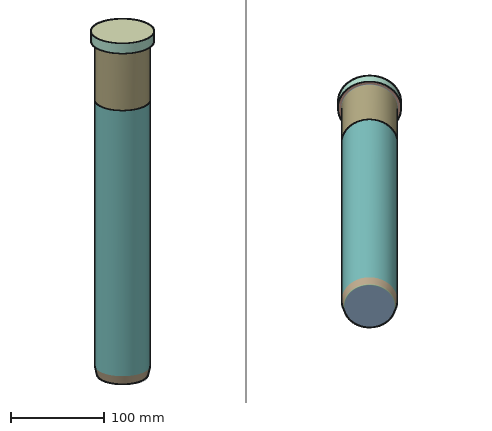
import cadquery as cq

total_length = 400.0
head_diameter = 68.0
head_thickness = 12.0
shank_diameter = 60.0
upper_length = 80.0
tip_length = 11.0
tip_diameter = 55.0
tip_edge_radius = 1.0
neck_fillet = 0.5

shank_radius = shank_diameter / 2
head_radius = head_diameter / 2
tip_radius = tip_diameter / 2
joint_z = total_length - upper_length
head_bottom_z = total_length - head_thickness


def revolve_profile(points):
    """Turn a closed (radius, height) outline around the Z axis, starting at the -X side."""
    profile = [(-radius, height) for radius, height in points]
    return cq.Workplane("XZ").polyline(profile).close().revolve(360, (0, 0), (0, 1))


def make_headed_end():
    """Upper body: a plain cylinder with a wider flat head."""
    body = revolve_profile([
        (0, joint_z),
        (shank_radius, joint_z),
        (shank_radius, head_bottom_z),
        (head_radius, head_bottom_z),
        (head_radius, total_length),
        (0, total_length),
    ])
    underside = body.faces("%PLANE and (not >Z) and (not <Z)")
    return underside.edges(cq.selectors.RadiusNthSelector(0)).fillet(neck_fillet)


def make_guide_shank():
    """Lower body: a long cylinder with a tapered tip."""
    body = revolve_profile([
        (0, 0),
        (tip_radius, 0),
        (shank_radius, tip_length),
        (shank_radius, joint_z),
        (0, joint_z),
    ])
    return body.faces("<Z").edges().fillet(tip_edge_radius)


headed_end = make_headed_end()
guide_shank = make_guide_shank()

result = cq.Compound.makeCompound([headed_end.val(), guide_shank.val()])